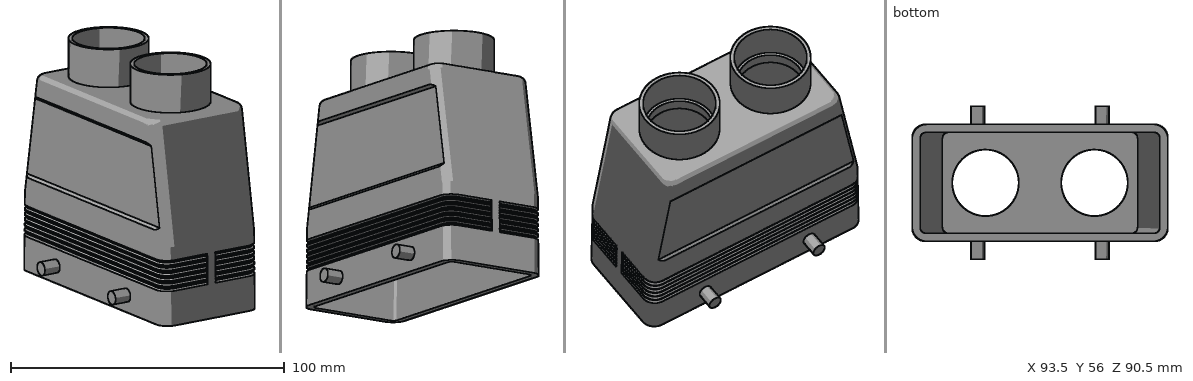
import cadquery as cq
import math

base_length = 93.5
hood_depth = 42.8
hood_height = 76.1
knee_height = 29.9
lower_draft = 1.0
upper_draft = 10.0
corner_radius = 5.05
top_radius = 2.5
wall = 3.0

collar_spacing = 39.8
collar_diameter = 29.45
collar_top = 90.5
thread_diameter = 26.6
thread_depth = 13.2
entry_diameter = 24.2

panel_depth = 0.8
panel_bottom = 36.9
panel_top = 66.8
panel_bevel = 1.1

groove_count = 6
groove_width = 1.7
groove_depth = 0.8
groove_floor = 0.4
groove_bottom = 13.2
groove_top = 24.9
groove_gap = 3.55

pin_spacing = 45.4
pin_diameter = 5.05
pin_height = 6.6
pin_span = 56.0

half_depth = hood_depth / 2
groove_pitch = (groove_top - groove_bottom - groove_width) / (groove_count - 1)


def half_length(z):
    """Half the hood length in X at height z."""
    lower_rise = min(z, knee_height)
    upper_rise = max(z - knee_height, 0)
    lower_loss = lower_rise * math.tan(math.radians(lower_draft))
    upper_loss = upper_rise * math.tan(math.radians(upper_draft))
    return base_length / 2 - lower_loss - upper_loss


def hood_block(inset, radius):
    """Tapered block with rounded upright corners, drawn in by inset at the sides and the top."""
    top = hood_height - inset
    right_side = [(half_length(z) - inset, z) for z in (0, knee_height, top)]
    left_side = [(-x, z) for x, z in reversed(right_side)]
    block = (
        cq.Workplane("XZ")
        .polyline(right_side + left_side)
        .close()
        .extrude(half_depth - inset, both=True)
    )
    return block.edges("not (|X or |Y)").fillet(radius)


def side_panels():
    """Cutters for the bevelled recesses in both long sides."""
    floor = half_depth - panel_depth
    outline = [
        (floor, panel_bottom),
        (half_depth, panel_bottom - panel_bevel),
        (half_depth, panel_top + panel_bevel),
        (floor, panel_top),
    ]
    panel = cq.Workplane("YZ").polyline(outline).close().extrude(base_length / 2, both=True)
    return panel.union(panel.mirror("XZ"))


def groove_cutter(z):
    """Flat-bottomed V ring centred on height z, interrupted in the middle of the end faces."""
    half_width = groove_width / 2
    flank_height = half_width - groove_floor / 2
    flank_angle = math.degrees(math.atan2(groove_depth, flank_height))
    core_length = 2 * (half_length(z) - groove_depth)
    core_depth = hood_depth - 2 * groove_depth
    outline = (
        cq.Sketch()
        .rect(2 * half_length(z), hood_depth)
        .vertices()
        .fillet(corner_radius)
    )
    slab = cq.Workplane().box(2 * base_length, 2 * hood_depth, groove_width)
    upper_core = (
        cq.Workplane()
        .workplane(offset=half_width)
        .placeSketch(outline)
        .extrude(-flank_height, taper=flank_angle)
    )
    middle_core = (
        cq.Workplane()
        .box(core_length, core_depth, groove_floor)
        .edges("|Z")
        .fillet(corner_radius - groove_depth)
    )
    lower_core = upper_core.mirror("XY")
    gap = cq.Workplane().box(2 * base_length, groove_gap, groove_width)
    ring = slab.cut(upper_core).cut(middle_core).cut(lower_core).cut(gap)
    return ring.translate((0, 0, z))


def upright_cylinders(diameter, bottom, top):
    """One upright cylinder on each cable entry axis."""
    return (
        cq.Workplane()
        .workplane(offset=bottom)
        .pushPoints([(-collar_spacing / 2, 0), (collar_spacing / 2, 0)])
        .circle(diameter / 2)
        .extrude(top - bottom)
    )


def locking_pins():
    """Four pins, each running from the inner wall face outwards."""
    pins = (
        cq.Workplane("XZ", origin=(0, wall - half_depth, 0))
        .pushPoints([(-pin_spacing / 2, pin_height), (pin_spacing / 2, pin_height)])
        .circle(pin_diameter / 2)
        .extrude(pin_span / 2 - half_depth + wall)
    )
    return pins.union(pins.mirror("XZ"))


hood = hood_block(0, corner_radius)
hood = hood.faces(">Z").edges().fillet(top_radius)
hood = hood.cut(side_panels())

for index in range(groove_count):
    groove_height = groove_bottom + groove_width / 2 + index * groove_pitch
    hood = hood.cut(groove_cutter(groove_height))

roof_underside = hood_height - wall
thread_floor = collar_top - thread_depth
hood = hood.cut(hood_block(wall, corner_radius - wall))
hood = hood.union(upright_cylinders(collar_diameter, roof_underside, collar_top))
hood = hood.cut(upright_cylinders(entry_diameter, roof_underside, collar_top))
hood = hood.cut(upright_cylinders(thread_diameter, thread_floor, collar_top))

result = hood.union(locking_pins())